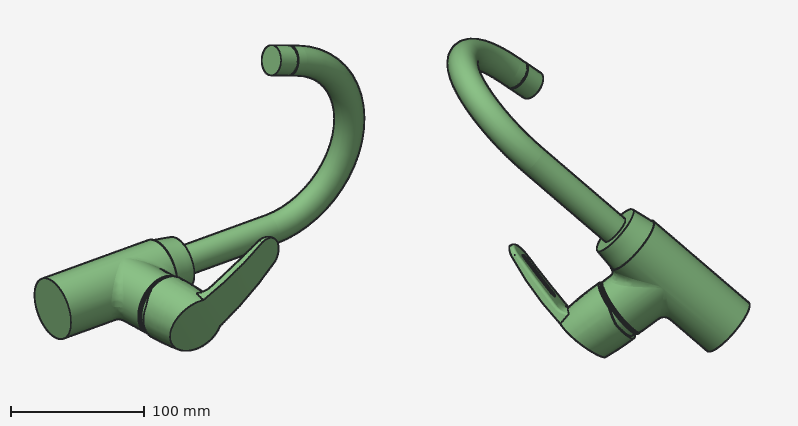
import cadquery as cq
import math

body_diameter = 48
body_length = 97.2
collar_base_diameter = 46.5
collar_top_diameter = 41.0
collar_length = 17.8

pipe_diameter = 22.8
bend_radius = 72.0
bend_angle = 160
total_length = 282
bend_start = total_length - bend_radius - pipe_diameter / 2
nozzle_length = 25.5
groove_diameter = 20.9
nozzle_groove_position = 8.2
nozzle_groove_width = 0.8

branch_diameter = 47.4
branch_tilt = 9
branch_origin_y = 62.9
branch_length = 42.3
branch_blend = 7.0
neck_diameter = 44.5
ring_start = 43.0
ring_width = 1.5

cap_diameter = 49.0
cap_end_diameter = 42.3
cap_straight_end = 52.1
cap_end = 90.2
cap_start = 45.5
cap_relief = 3.7
cap_relief_end = -12.7
lever_roll = 30
lever_length = 88.0
outer_low_u = 74.7
outer_low_v = -25.5
outer_mid_u = 87.0
outer_mid_v = 25.5
outer_tip_u = 88.2
lever_tip_thickness = 3.7
lever_inner_u = 82.3
lever_inner_v = 50.7
lever_root_u = 80.3
lever_root_v = 30.2
lever_foot_u = 69.0
lever_foot_v = 22.8
lever_root_half_width = 17.8
lever_tip_half_width = 13.0
lever_base_v = 8.5
lever_shoulder_v = 77.5
lever_edge_round = 2.3
recess_width = 8.0
recess_depth = 1.0
recess_start_v = 36.6
recess_end_v = 77.0
plug_diameter = 10.1
plug_position = 64.3
plug_seat_v = 23.5

tilt = math.radians(branch_tilt)
roll = math.radians(lever_roll)
origin = cq.Vector(0, branch_origin_y, 0)
axis_u = cq.Vector(math.cos(tilt), math.sin(tilt), 0)
axis_v = cq.Vector(-math.sin(tilt) * math.cos(roll), math.cos(tilt) * math.cos(roll), math.sin(roll))
axis_w = axis_u.cross(axis_v)


def branch_point(u, v=0):
    """Point given along the branch axis and the lever direction."""
    return origin + axis_u * u + axis_v * v


def branch_cylinder(start, end, diameter):
    """Cylinder on the branch axis between two distances from the body axis."""
    plane = cq.Plane(branch_point(start), axis_v, axis_u)
    return cq.Workplane(plane).circle(diameter / 2).extrude(end - start)


def side_profile():
    """Workplane with local X along the branch and local Y along the lever."""
    return cq.Workplane(cq.Plane(origin, axis_u, axis_w))


def make_body():
    """Cylindrical body with the branch blended into its side."""
    body = cq.Workplane("XZ").circle(body_diameter / 2).extrude(-body_length)
    body = body.union(branch_cylinder(0, branch_length, branch_diameter))
    joint = [edge for edge in body.edges().vals() if edge.geomType() not in ("CIRCLE", "LINE")]
    return body.newObject(joint).fillet(branch_blend)


def make_collar():
    """Tapered collar between the body and the pipe."""
    return (
        cq.Workplane("XZ", origin=(0, body_length, 0))
        .circle(collar_base_diameter / 2)
        .workplane(offset=-collar_length)
        .circle(collar_top_diameter / 2)
        .loft()
    )


def make_spout():
    """Pipe swept through the hook, with a grooved straight nozzle at its end."""
    def on_bend(angle):
        turn = math.radians(angle)
        return (bend_start + bend_radius * math.sin(turn), bend_radius * (1 - math.cos(turn)))

    path = (
        cq.Workplane("YZ")
        .moveTo(body_length, 0)
        .lineTo(bend_start, 0)
        .threePointArc(on_bend(bend_angle / 2), on_bend(bend_angle))
    )
    pipe = cq.Workplane("XZ", origin=(0, body_length, 0)).circle(pipe_diameter / 2).sweep(path)

    end_turn = math.radians(bend_angle)
    end_y, end_z = on_bend(bend_angle)
    direction = (0, math.cos(end_turn), math.sin(end_turn))
    end = cq.Workplane(cq.Plane((0, end_y, end_z), (1, 0, 0), direction))
    nozzle = end.circle(pipe_diameter / 2).extrude(nozzle_length)
    groove = (
        end.workplane(offset=nozzle_groove_position)
        .circle(pipe_diameter)
        .circle(groove_diameter / 2)
        .extrude(nozzle_groove_width)
    )
    return pipe.union(nozzle.cut(groove))


def make_cap_barrel():
    """Round barrel, straight at the rear and curving inward toward its outer end."""
    rear_radius = cap_diameter / 2
    end_radius = cap_end_diameter / 2
    return (
        side_profile()
        .moveTo(cap_start, 0)
        .lineTo(cap_start, rear_radius)
        .lineTo(cap_straight_end, rear_radius)
        .tangentArcPoint((cap_end, end_radius), relative=False)
        .lineTo(cap_end, 0)
        .close()
        .revolve(360, (0, 0), (1, 0))
    )


def make_cap_and_lever():
    """Cap and lever share one curved outer face."""
    outside = 2 * cap_diameter
    inner_middle = branch_point(lever_inner_u, lever_inner_v)
    lever_tip_u = outer_tip_u - lever_tip_thickness

    cap_outline = (
        side_profile()
        .moveTo(cap_start + cap_relief, outer_low_v)
        .lineTo(outer_low_u, outer_low_v)
        .threePointArc((outer_mid_u, outer_mid_v), (outer_tip_u, lever_length))
        .lineTo(cap_start, lever_length)
        .lineTo(cap_start, 0)
        .lineTo(cap_start + cap_relief, cap_relief_end)
        .close()
        .extrude(outside, both=True)
    )
    cap = make_cap_barrel().intersect(cap_outline)

    inner_limit = (
        side_profile()
        .moveTo(lever_tip_u, lever_length)
        .threePointArc((lever_inner_u, lever_inner_v), (lever_root_u, lever_root_v))
        .tangentArcPoint((lever_foot_u, lever_foot_v), relative=False)
        .lineTo(lever_foot_u, 0)
        .lineTo(outside, 0)
        .lineTo(outside, lever_length)
        .close()
        .revolve(360, (0, 0), (1, 0))
    )
    blade = cap_outline.intersect(inner_limit)
    front_outline = (
        cq.Workplane(cq.Plane(branch_point(0), axis_v, axis_u))
        .moveTo(lever_base_v, -lever_root_half_width)
        .lineTo(lever_shoulder_v, -lever_tip_half_width)
        .threePointArc((lever_length, 0), (lever_shoulder_v, lever_tip_half_width))
        .lineTo(lever_base_v, lever_root_half_width)
        .close()
        .extrude(outside)
    )
    lever = blade.intersect(front_outline)
    inner_face = lever.faces(cq.selectors.NearestToPointSelector(inner_middle.toTuple()))
    inner_edges = [
        edge for edge in inner_face.edges().vals()
        if edge.Center().sub(origin).dot(axis_v) > lever_root_v
    ]
    lever = lever.newObject(inner_edges).fillet(lever_edge_round)

    recess_middle = (recess_start_v + recess_end_v) / 2
    recess = (
        cq.Workplane(cq.Plane(origin, axis_v, axis_u))
        .center(recess_middle, 0)
        .slot2D(recess_end_v - recess_start_v, recess_width)
        .extrude(outside)
        .cut(blade.translate((axis_u * recess_depth).toTuple()))
        .intersect(blade)
    )
    lever = lever.cut(recess)

    plug_plane = cq.Plane(branch_point(plug_position, plug_seat_v), axis_u, axis_v)
    plug_seat = cq.Workplane(plug_plane).circle(plug_diameter / 2).extrude(outside)
    return cap.union(lever).cut(plug_seat)


def make_neck():
    """Narrow neck between branch and cap, carrying a thin ring."""
    neck = branch_cylinder(0, cap_start + 2 * cap_relief, neck_diameter)
    return neck.union(branch_cylinder(ring_start, ring_start + ring_width, branch_diameter))


result = (
    make_body()
    .union(make_collar())
    .union(make_spout())
    .union(make_neck())
    .union(make_cap_and_lever())
)